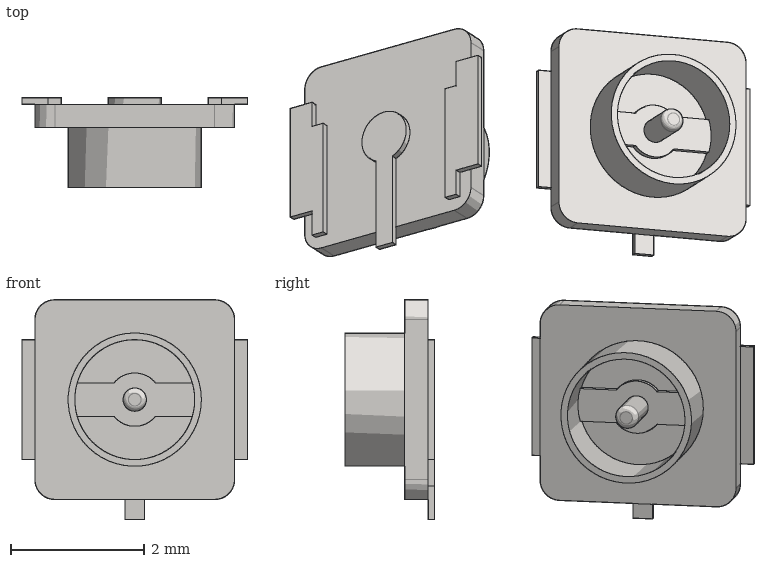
import cadquery as cq


terminal_thickness = 0.1

plate_side = 3.0
plate_thickness = 0.35
plate_corner_radius = 0.3

shell_outer_diameter = 2.0
shell_wall = 0.1
shell_height = 0.9
shell_inner_diameter = shell_outer_diameter - 2 * shell_wall

bar_height = 0.1
bar_width = 0.5

hub_diameter = 0.8

pin_diameter = 0.35
pin_tip_round = 0.08
pin_height = shell_height

ground_outer_x = 1.695
ground_step_x = 1.3
ground_inner_x = 1.1
ground_length = 1.8
ground_strip_drop = 0.4

signal_width = 0.3
signal_overhang = 0.3
signal_reach = plate_side / 2 + signal_overhang

plate_back_y = -terminal_thickness
plate_front_y = plate_back_y - plate_thickness


def box_between(x_range, y_range, z_range):
    """Box spanning the given (low, high) limits on each axis."""
    sizes = [high - low for low, high in (x_range, y_range, z_range)]
    corner = (x_range[0], y_range[0], z_range[0])
    return cq.Workplane("XY").box(*sizes, centered=False).translate(corner)


def cylinder_toward_front(diameter, start_y, length):
    """Cylinder on the socket axis, running toward -Y from start_y."""
    return cq.Workplane("XZ", origin=(0, start_y, 0)).circle(diameter / 2).extrude(length)


def make_plate():
    outline = cq.Workplane("XZ", origin=(0, plate_back_y, 0)).rect(plate_side, plate_side)
    return outline.extrude(plate_thickness).edges("|Y").fillet(plate_corner_radius)


def make_shell():
    outer = cylinder_toward_front(shell_outer_diameter, plate_front_y, shell_height)
    bore = cylinder_toward_front(shell_inner_diameter, plate_front_y, shell_height)
    return outer.cut(bore)


def make_floor_bar():
    """Bar along X across the socket floor, ending on the bore, with a round hub in the middle."""
    bar = (
        cq.Workplane("XZ", origin=(0, plate_front_y, 0))
        .rect(shell_outer_diameter, bar_width)
        .extrude(bar_height)
    )
    bore = cylinder_toward_front(shell_inner_diameter, plate_front_y, bar_height)
    hub = cylinder_toward_front(hub_diameter, plate_front_y, bar_height)
    return bar.intersect(bore).union(hub)


def make_pin():
    pin = cylinder_toward_front(pin_diameter, plate_front_y, pin_height)
    return pin.faces("<Y").edges().fillet(pin_tip_round)


def make_ground_terminal():
    """Ground terminal on the +X side."""
    half_length = ground_length / 2
    thickness_range = (plate_back_y, 0)
    tab = box_between((ground_step_x, ground_outer_x), thickness_range, (-half_length, half_length))
    strip = box_between(
        (ground_inner_x, ground_step_x),
        thickness_range,
        (-half_length - ground_strip_drop, half_length - ground_strip_drop),
    )
    return tab.union(strip)


def make_signal_terminal():
    """Round hub behind the pin with a tail reaching past the lower plate edge."""
    hub = cylinder_toward_front(hub_diameter, 0, terminal_thickness)
    half_width = signal_width / 2
    tail = box_between((-half_width, half_width), (plate_back_y, 0), (-signal_reach, 0))
    return hub.union(tail)


ground_terminal = make_ground_terminal()

result = (
    make_plate()
    .union(make_shell())
    .union(make_floor_bar())
    .union(make_pin())
    .union(ground_terminal)
    .union(ground_terminal.mirror("YZ"))
    .union(make_signal_terminal())
)